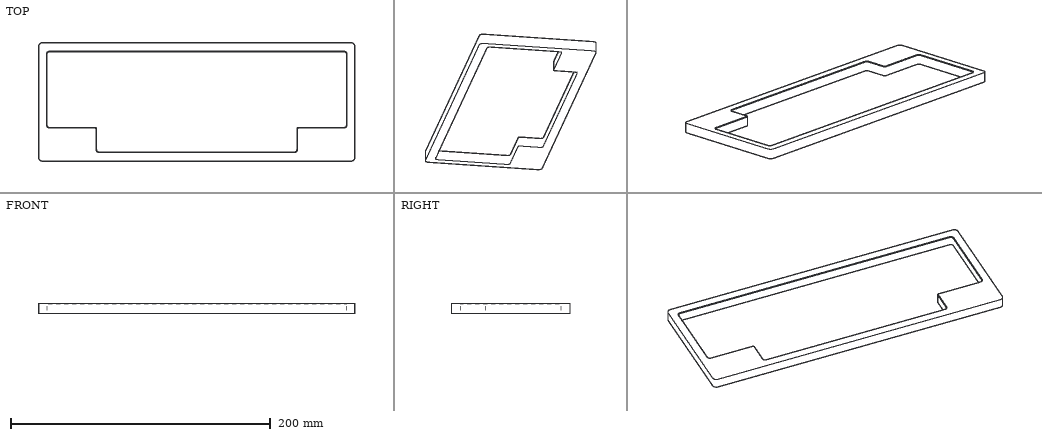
import cadquery as cq

length = 243.8
width = 91.5
thickness = 7.8
outer_corner_radius = 3.2

side_rail = 6.5
long_rail = 7.0
shelf_depth = 26.0
block_length = 44.8
inner_corner_radius = 2.0
block_corner_radius = 1.35
edge_chamfer = 0.5

opening_half_length = length / 2 - side_rail
notch_half_length = length / 2 - block_length
opening_back = width / 2 - long_rail
opening_front = -width / 2 + long_rail
shelf_y = -width / 2 + shelf_depth


def make_plate():
    plate = cq.Workplane("XY").box(length, width, thickness)
    return plate.edges("|Z").fillet(outer_corner_radius)


def make_opening():
    """Wide rectangle with a narrower notch along the front."""
    outline = [
        (-opening_half_length, opening_back),
        (opening_half_length, opening_back),
        (opening_half_length, shelf_y),
        (notch_half_length, shelf_y),
        (notch_half_length, opening_front),
        (-notch_half_length, opening_front),
        (-notch_half_length, shelf_y),
        (-opening_half_length, shelf_y),
    ]
    opening = cq.Workplane("XY").polyline(outline).close().extrude(thickness / 2, both=True)

    for side in (-1, 1):
        corner = cq.selectors.NearestToPointSelector((side * notch_half_length, shelf_y, 0))
        opening = opening.edges("|Z").edges(corner).fillet(block_corner_radius)
    for side in (-1, 1):
        for x, y in (
            (opening_half_length, opening_back),
            (opening_half_length, shelf_y),
            (notch_half_length, opening_front),
        ):
            corner = cq.selectors.NearestToPointSelector((side * x, y, 0))
            opening = opening.edges("|Z").edges(corner).fillet(inner_corner_radius)
    return opening


def chamfer_opening_rim(frame):
    """Break the top edge all around the opening."""
    rim = frame.faces(">Z").val().innerWires()[0]
    return frame.newObject(rim.Edges()).chamfer(edge_chamfer)


frame = make_plate().cut(make_opening())
result = chamfer_opening_rim(frame)